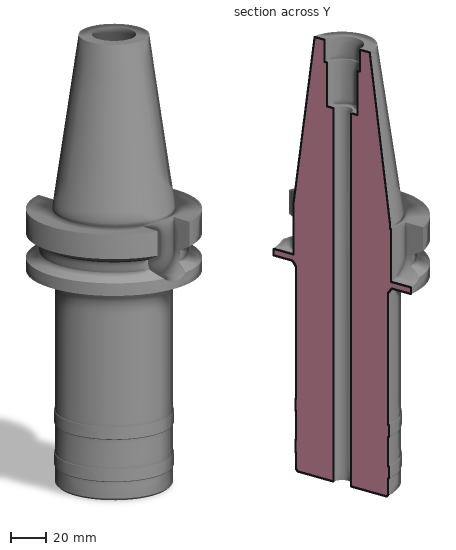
import cadquery as cq

TOTAL_HEIGHT = 266.8

GAUGE_RADIUS = 35.0
TAPER_HEIGHT = 102.0
DIAMETER_PER_HEIGHT = 7 / 24
TAPER_TOP_RADIUS = GAUGE_RADIUS - TAPER_HEIGHT * DIAMETER_PER_HEIGHT / 2
GAUGE_Z = TOTAL_HEIGHT - TAPER_HEIGHT

FLANGE_RADIUS = 50.02
GAUGE_RIM_HEIGHT = 1.5
FLANGE_TOP_Z = GAUGE_Z - GAUGE_RIM_HEIGHT
FLANGE_BOTTOM_Z = 127.0
GROOVE_RADIUS = 42.5
GROOVE_EDGE_TOP_Z = 149.0
GROOVE_FLOOR_TOP_Z = 144.5
GROOVE_FLOOR_BOTTOM_Z = 138.5
GROOVE_EDGE_BOTTOM_Z = 134.5

BODY_RADIUS = 33.48
COLLAR_RADIUS = 36.0
COLLAR_HEIGHT = 3.0
END_CHAMFER = 1.3

BAND_RADIUS = 34.02
BAND_HEIGHT = 7.7
BAND_BOTTOM_POSITIONS = (11.2, 36.3)
BAND_CHAMFER = BAND_RADIUS - BODY_RADIUS

SLOT_WIDTH = 25.3
SLOT_FLOOR_X = 35.5
SLOT_BOTTOM_Z = 131.3

BORE_RADIUS = 12.5
BORE_DEPTH = 13.3
STEP_RADIUS = 11.0
STEP_DEPTH = 40.0
THROUGH_RADIUS = 6.1


def revolved_body():
    """Shank, flange and body as a single revolved half section."""
    section = [
        (0, 0),
        (BODY_RADIUS - END_CHAMFER, 0),
        (BODY_RADIUS, END_CHAMFER),
        (BODY_RADIUS, FLANGE_BOTTOM_Z - COLLAR_HEIGHT),
        (COLLAR_RADIUS, FLANGE_BOTTOM_Z),
        (FLANGE_RADIUS, FLANGE_BOTTOM_Z),
        (FLANGE_RADIUS, GROOVE_EDGE_BOTTOM_Z),
        (GROOVE_RADIUS, GROOVE_FLOOR_BOTTOM_Z),
        (GROOVE_RADIUS, GROOVE_FLOOR_TOP_Z),
        (FLANGE_RADIUS, GROOVE_EDGE_TOP_Z),
        (FLANGE_RADIUS, FLANGE_TOP_Z),
        (GAUGE_RADIUS, FLANGE_TOP_Z),
        (GAUGE_RADIUS, GAUGE_Z),
        (TAPER_TOP_RADIUS, TOTAL_HEIGHT),
        (0, TOTAL_HEIGHT),
    ]
    return cq.Workplane("XZ").polyline(section).close().revolve(360, (0, 0), (0, 1))


def raised_band(bottom_z):
    """Band around the body, chamfered at its lower edge."""
    band = cq.Workplane("XY").workplane(offset=bottom_z).circle(BAND_RADIUS).extrude(BAND_HEIGHT)
    return band.faces("<Z").edges().chamfer(BAND_CHAMFER)


def drive_slot(side):
    """Cutter for one slot: side is +1 for +X and -1 for -X."""
    half_width = SLOT_WIDTH / 2
    arc_center_z = SLOT_BOTTOM_Z + half_width
    return (
        cq.Workplane("YZ", origin=(side * SLOT_FLOOR_X, 0, 0))
        .moveTo(-half_width, FLANGE_TOP_Z)
        .lineTo(-half_width, arc_center_z)
        .threePointArc((0, SLOT_BOTTOM_Z), (half_width, arc_center_z))
        .lineTo(half_width, FLANGE_TOP_Z)
        .close()
        .extrude(side * FLANGE_RADIUS)
    )


def bore_step(radius, depth):
    """Cutter going down from the small end of the taper."""
    return cq.Workplane("XY").workplane(offset=TOTAL_HEIGHT).circle(radius).extrude(-depth)


result = revolved_body()

for band_z in BAND_BOTTOM_POSITIONS:
    result = result.union(raised_band(band_z))

for slot_side in (-1, 1):
    result = result.cut(drive_slot(slot_side))

result = result.cut(bore_step(BORE_RADIUS, BORE_DEPTH))
result = result.cut(bore_step(STEP_RADIUS, STEP_DEPTH))
result = result.cut(bore_step(THROUGH_RADIUS, TOTAL_HEIGHT))